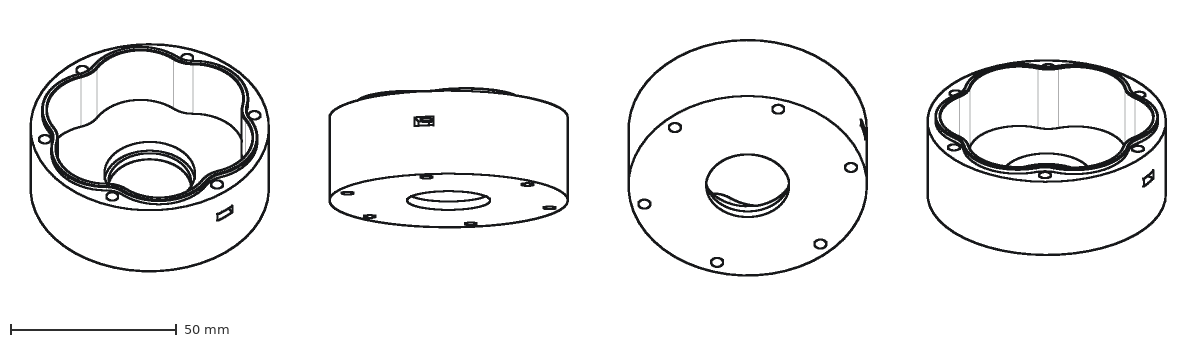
import cadquery as cq
import math

body_radius = 36.0
body_height = 25.7
lip_height = 1.6

lobe_count = 6
lobe_reach = 32.1
neck_reach = 28.2
neck_radius = 8.65
lip_thickness = 1.5
lip_chamfer = 0.2
floor_thickness = 6.3

screw_circle_radius = 32.05
screw_hole_diameter = 3.6

bore_radius = 12.5
counterbore_radius = 13.7
ledge_thickness = 2.6

nut_width = 5.8
nut_slot_height = 2.7
nut_slot_bottom = 15.1

lobe_step = 360.0 / lobe_count
half_step = lobe_step / 2

neck_offset = neck_reach + neck_radius
lobe_to_neck = lobe_reach + neck_radius
lobe_offset = (lobe_to_neck**2 - neck_offset**2) / (
    2 * (lobe_to_neck - neck_offset * math.cos(math.radians(half_step)))
)
lobe_radius = lobe_reach - lobe_offset


def polar(radius, angle):
    """Point at a radius and an angle in degrees."""
    return (radius * math.cos(math.radians(angle)), radius * math.sin(math.radians(angle)))


def contact_point(lobe_angle, neck_angle, growth):
    """Point where a lobe arc meets a neck arc, on the outline grown outward."""
    lobe_x, lobe_y = polar(lobe_offset, lobe_angle)
    neck_x, neck_y = polar(neck_offset, neck_angle)
    fraction = (lobe_radius + growth) / (lobe_radius + neck_radius)
    return (lobe_x + fraction * (neck_x - lobe_x), lobe_y + fraction * (neck_y - lobe_y))


def lobed_prism(growth, bottom, height):
    """Prism on the cavity outline, grown outward by a given distance."""
    outline = cq.Workplane("XY", origin=(0, 0, bottom)).moveTo(*contact_point(half_step, 0, growth))
    for index in range(lobe_count):
        neck_angle = (index + 1) * lobe_step
        lobe_angle = neck_angle - half_step
        next_lobe_angle = neck_angle + half_step
        outline = outline.threePointArc(
            polar(lobe_reach + growth, lobe_angle),
            contact_point(lobe_angle, neck_angle, growth),
        ).threePointArc(
            polar(neck_reach + growth, neck_angle),
            contact_point(next_lobe_angle, neck_angle, growth),
        )
    return outline.close().extrude(height)


def lip():
    """Raised ring around the cavity, with both top edges chamfered."""
    ring = lobed_prism(lip_thickness, body_height, lip_height).cut(lobed_prism(0, body_height, lip_height))
    return ring.faces(">Z").edges().chamfer(lip_chamfer)


def screw_holes():
    """Through holes spaced evenly between the lobes."""
    return (
        cq.Workplane("XY")
        .polarArray(screw_circle_radius, 0, 360, lobe_count)
        .circle(screw_hole_diameter / 2)
        .extrude(body_height)
    )


def central_opening():
    """Stepped bore through the floor."""
    bore = cq.Workplane("XY").circle(bore_radius).extrude(floor_thickness)
    counterbore = (
        cq.Workplane("XY", origin=(0, 0, ledge_thickness))
        .circle(counterbore_radius)
        .extrude(floor_thickness - ledge_thickness)
    )
    return bore.union(counterbore)


def nut_slots():
    """Side pockets on -X and +X whose inner ends are half hexagons around the screw holes."""
    nut_corner_diameter = nut_width / math.cos(math.radians(30))
    slots = cq.Workplane("XY", origin=(0, 0, nut_slot_bottom))
    seats = (
        slots.pushPoints([(-screw_circle_radius, 0), (screw_circle_radius, 0)])
        .polygon(6, nut_corner_diameter)
        .extrude(nut_slot_height)
    )
    channel_length = body_radius - screw_circle_radius
    channel_center = screw_circle_radius + channel_length / 2
    channels = (
        slots.pushPoints([(-channel_center, 0), (channel_center, 0)])
        .rect(channel_length, nut_width)
        .extrude(nut_slot_height)
    )
    return seats.union(channels)


body = cq.Workplane("XY").circle(body_radius).extrude(body_height)
cavity = lobed_prism(0, floor_thickness, body_height - floor_thickness)
result = (
    body.cut(cavity)
    .union(lip())
    .cut(central_opening())
    .cut(screw_holes())
    .cut(nut_slots())
)